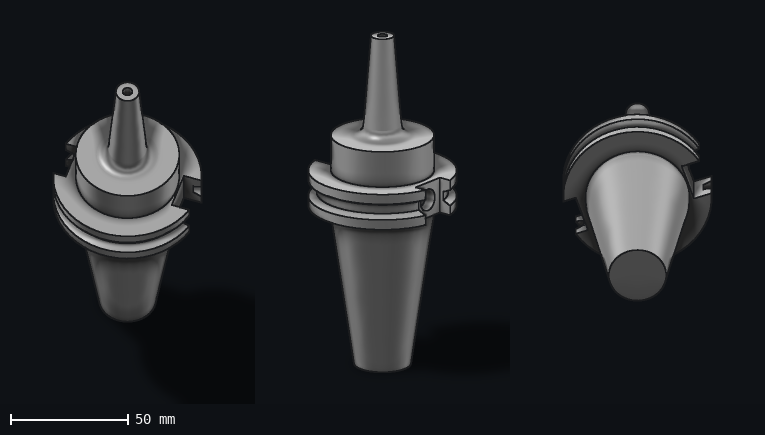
import cadquery as cq
import math


gauge_diameter = 44.45
shank_length = 68.25
taper_rate = 7 / 24
gauge_radius = gauge_diameter / 2
shank_end_radius = gauge_radius - shank_length * taper_rate / 2

flange_radius = 63.5 / 2
flange_bottom = 3.18
flange_top = 19.05
flange_middle = (flange_bottom + flange_top) / 2
groove_root_radius = 56.36 / 2
groove_root_width = 3.9
groove_mouth_width = 7.1

collar_radius = 44.2 / 2
collar_top = 35.0

nose_top = 80.0
nose_tip_radius = 5.0
nose_half_angle = math.radians(4.5)
nose_fillet_radius = 5.0

keyway_width = 16.38
far_floor = 25.1
near_floor = 22.7

tool_bore_diameter = 4.0
tool_bore_depth = 20.0
side_hole_diameter = 9.6
side_hole_depth = 5.1


def revolved_body():
    """Shank, grooved flange, collar and nose as one turned profile."""
    sine = math.sin(nose_half_angle)
    cosine = math.cos(nose_half_angle)
    fillet_center_z = collar_top + nose_fillet_radius
    tangent_z = fillet_center_z - nose_fillet_radius * sine
    tangent_radius = nose_tip_radius + (nose_top - tangent_z) * math.tan(nose_half_angle)
    fillet_center_radius = tangent_radius + nose_fillet_radius * cosine
    middle_angle = (math.pi / 2 + nose_half_angle) / 2
    fillet_middle = (
        fillet_center_radius - nose_fillet_radius * math.cos(middle_angle),
        fillet_center_z - nose_fillet_radius * math.sin(middle_angle),
    )

    profile = (
        cq.Workplane("XZ")
        .moveTo(0, -shank_length)
        .lineTo(shank_end_radius, -shank_length)
        .lineTo(gauge_radius, 0)
        .lineTo(gauge_radius, flange_bottom)
        .lineTo(flange_radius, flange_bottom)
        .lineTo(flange_radius, flange_middle - groove_mouth_width / 2)
        .lineTo(groove_root_radius, flange_middle - groove_root_width / 2)
        .lineTo(groove_root_radius, flange_middle + groove_root_width / 2)
        .lineTo(flange_radius, flange_middle + groove_mouth_width / 2)
        .lineTo(flange_radius, flange_top)
        .lineTo(collar_radius, flange_top)
        .lineTo(collar_radius, collar_top)
        .lineTo(fillet_center_radius, collar_top)
        .threePointArc(fillet_middle, (tangent_radius, tangent_z))
        .lineTo(nose_tip_radius, nose_top)
        .lineTo(0, nose_top)
        .close()
    )
    return profile.revolve(360, (0, 0, 0), (0, 1, 0))


def keyway(side, floor_distance):
    """Cutter for the drive keyway on one side (-1 or +1 along X)."""
    return (
        cq.Workplane("XY")
        .box(flange_radius, keyway_width, flange_top - flange_bottom)
        .translate((side * (floor_distance + flange_radius / 2), 0, flange_middle))
    )


def tool_bore():
    """Blind bore in the nose tip."""
    return (
        cq.Workplane("XY", origin=(0, 0, nose_top - tool_bore_depth))
        .circle(tool_bore_diameter / 2)
        .extrude(tool_bore_depth)
    )


def side_hole():
    """Blind hole in the floor of the -X keyway, pointing at the axis."""
    return (
        cq.Workplane("YZ", origin=(-far_floor, 0, flange_middle))
        .circle(side_hole_diameter / 2)
        .extrude(side_hole_depth)
    )


result = (
    revolved_body()
    .cut(keyway(-1, far_floor))
    .cut(keyway(1, near_floor))
    .cut(tool_bore())
    .cut(side_hole())
)